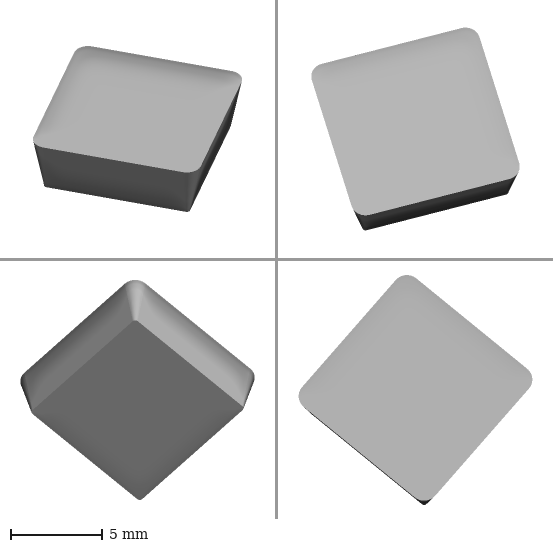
import cadquery as cq

top_side = 9.53
thickness = 3.17
top_corner_radius = 0.8
clearance_angle = 11.0

top_face = cq.Workplane("XY", origin=(0, 0, thickness)).transformed(rotate=(180, 0, 0))
outline = cq.Sketch().rect(top_side, top_side).vertices().fillet(top_corner_radius)

result = top_face.placeSketch(outline).extrude(thickness, taper=clearance_angle)